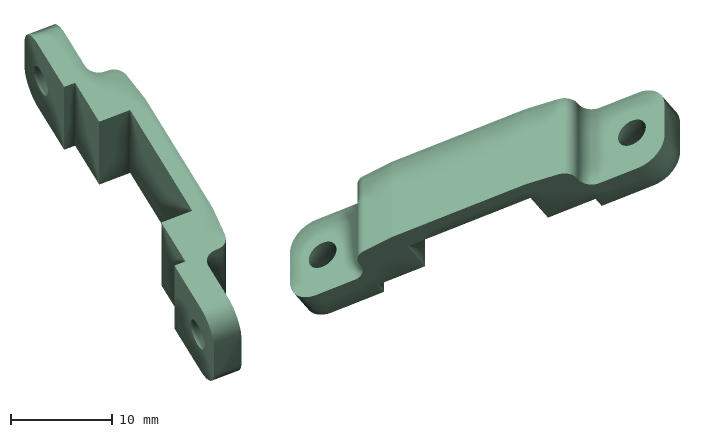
import cadquery as cq

length = 43.0
depth = 6.6
height = 10.0

ear_thickness = 3.0
ear_corner_radius = 3.0
hole_diameter = 3.2
hole_spacing = 35.5

bridge_width = 25.03
crown_width = 15.22
shoulder_depth = 6.05
bend_radius = 1.5

step_depth = 1.2
channel_width = 14.1
channel_depth = 4.6


def make_bridge_body():
    """Extrude the symmetric bridge profile along Z and round its outer bends."""
    right_half = [
        (channel_width / 2, channel_depth),
        (channel_width / 2, step_depth),
        (bridge_width / 2, step_depth),
        (bridge_width / 2, 0),
        (length / 2, 0),
        (length / 2, ear_thickness),
        (bridge_width / 2, ear_thickness),
        (bridge_width / 2, shoulder_depth),
        (crown_width / 2, depth),
    ]
    left_half = [(-x, y) for x, y in reversed(right_half)]
    body = cq.Workplane("XY").polyline(right_half + left_half).close().extrude(height)

    for side in (-1, 1):
        for bend_y in (ear_thickness, shoulder_depth):
            bend_edge = cq.selectors.NearestToPointSelector((side * bridge_width / 2, bend_y, height / 2))
            body = body.edges("|Z").edges(bend_edge).fillet(bend_radius)
    return body


def round_ear_corners(body):
    """Round the four end corners seen along Y."""
    return body.faces("<X or >X").edges("|Y").fillet(ear_corner_radius)


def drill_ears(body):
    """Cut one through hole in each ear along Y."""
    holes = (
        cq.Workplane("XZ", origin=(0, 0, height / 2))
        .pushPoints([(-hole_spacing / 2, 0), (hole_spacing / 2, 0)])
        .circle(hole_diameter / 2)
        .extrude(-depth)
    )
    return body.cut(holes)


result = drill_ears(round_ear_corners(make_bridge_body()))